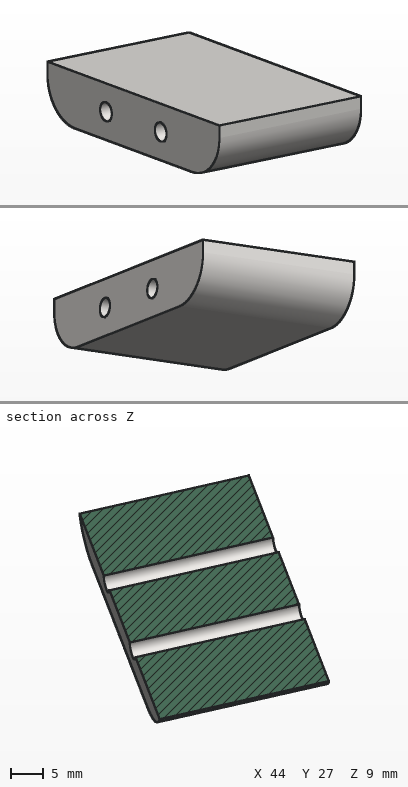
import cadquery as cq

length = 44.0
depth = 27.0
height = 9.0

edge_radius = 7.0

hole_diameter = 3.0
hole_spacing = 14.0


def rounded_block():
    """Block centred on the origin with its two lower edges along Y rounded."""
    block = cq.Workplane("XY").box(length, depth, height)
    return block.faces("<Z").edges("|Y").fillet(edge_radius)


def through_holes():
    """Pair of cylinders along Y, symmetric about the centre."""
    centres = [(-hole_spacing / 2, 0), (hole_spacing / 2, 0)]
    return (
        cq.Workplane("XZ")
        .pushPoints(centres)
        .circle(hole_diameter / 2)
        .extrude(depth, both=True)
    )


result = rounded_block().cut(through_holes())